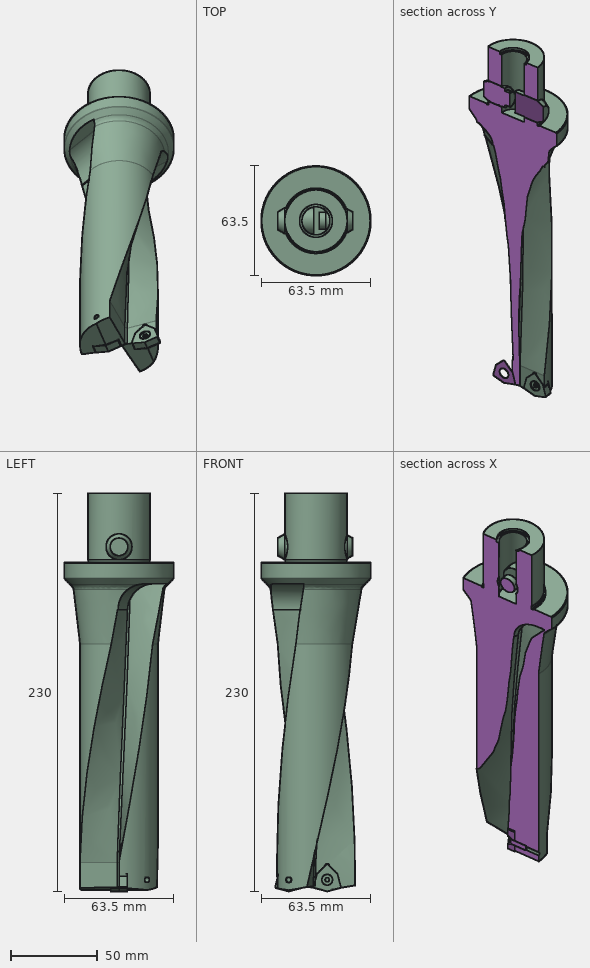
import cadquery as cq
import math


SHANK_RADIUS = 18.0
SHANK_LENGTH = 40.0
BORE_RADIUS = 8.1
BORE_BOTTOM = -2.0
MOUTH_RADIUS = 9.5
MOUTH_DEPTH = 1.6
GROOVE_OUTER_RADIUS = 18.9
GROOVE_DEPTH = 0.6
UNDERCUT_RADIUS = 17.8
UNDERCUT_TOP_Z = 1.4
FLANGE_RADIUS = 63.5 / 2
FLANGE_CHAMFER = 0.5
FLANGE_EDGE_Z = -9.0
FLANGE_EDGE_RADIUS = 0.4
FLANGE_EDGE_TURN = math.radians(45)

NECK_CONE_RADIUS = 28.4
NECK_CONE_Z = -12.6
CONE_TOP_RADIUS = 26.3
CONE_TOP_Z = -15.6
CONE_BOTTOM_Z = -47.0
DRILL_RADIUS = 22.6
TIP_Z = -190.0
END_RIDGE_Z = -189.2
END_SLOPE = 9.5

TWIST_START_Z = -173.0
FACE_EASING = 24.0
FACE_TWIST = 0.47
WALL_TWIST = 0.585
FLUTE_CORNER = 1.1
FLUTE_REACH = 45.0
RUNOUT_Z = -27.4
FLUTE_TOP_Z = -12.4
HELIX_STEPS = 16

INSERT_CORNER_RADIUS = 9.3
INSERT_FLAT_RADIUS = 6.8
INSERT_NOSE_TRIM = 0.4
INSERT_THICKNESS = 4.9
INSERT_Z = TIP_Z + INSERT_FLAT_RADIUS
INNER_INSERT_X = 6.5
OUTER_INSERT_X = 15.7
OUTER_TURN = 180
CORNER_RELIEF_RADIUS = 1.3
SIDE_OPENING_TOP_Z = -181.3
HEAD_RADIUS = 3.1
HEAD_SINK = 0.6
HEAD_HEIGHT = 2.0
SCREW_RADIUS = 1.75
SCREW_LENGTH = 13.0
SOCKET_WIDTH = 2.6
SOCKET_DEPTH = 1.5
SCREW_OUTLET_RADIUS = 1.45

PIN_Z = 9.0
PIN_END_RADIUS = 5.1
LEFT_PIN_RADIUS = 7.5
LEFT_PIN_INNER = 1.4
LEFT_PIN_OUTER = 22.1
RIGHT_PIN_RADIUS = 6.9
RIGHT_PIN_INNER = 2.0
RIGHT_PIN_OUTER = 21.2
NOSE_RADIUS = 5.0
NOSE_LENGTH = 3.6


def polar(radius, angle):
    """Point at the given radius and angle in degrees."""
    return cq.Vector(radius * math.cos(math.radians(angle)), radius * math.sin(math.radians(angle)))


def blank():
    """Turned shape of shank, flange, neck and drill."""
    lip_x = FLANGE_RADIUS - FLANGE_EDGE_RADIUS * (1 - math.cos(FLANGE_EDGE_TURN))
    lip_z = FLANGE_EDGE_Z - FLANGE_EDGE_RADIUS * math.sin(FLANGE_EDGE_TURN)
    cone_direction = (DRILL_RADIUS - CONE_TOP_RADIUS, CONE_BOTTOM_Z - CONE_TOP_Z)
    neck_direction = (NECK_CONE_RADIUS - lip_x, NECK_CONE_Z - lip_z)
    return (
        cq.Workplane("XZ")
        .moveTo(0, BORE_BOTTOM)
        .lineTo(BORE_RADIUS, BORE_BOTTOM)
        .lineTo(BORE_RADIUS, SHANK_LENGTH - MOUTH_DEPTH)
        .lineTo(MOUTH_RADIUS, SHANK_LENGTH - MOUTH_DEPTH)
        .lineTo(MOUTH_RADIUS, SHANK_LENGTH)
        .lineTo(SHANK_RADIUS, SHANK_LENGTH)
        .lineTo(SHANK_RADIUS, UNDERCUT_TOP_Z)
        .lineTo(UNDERCUT_RADIUS, UNDERCUT_TOP_Z)
        .lineTo(UNDERCUT_RADIUS, -GROOVE_DEPTH)
        .lineTo(GROOVE_OUTER_RADIUS, -GROOVE_DEPTH)
        .lineTo(GROOVE_OUTER_RADIUS, 0)
        .lineTo(FLANGE_RADIUS - FLANGE_CHAMFER, 0)
        .lineTo(FLANGE_RADIUS, -FLANGE_CHAMFER)
        .lineTo(FLANGE_RADIUS, FLANGE_EDGE_Z)
        .tangentArcPoint((lip_x, lip_z), relative=False)
        .lineTo(NECK_CONE_RADIUS, NECK_CONE_Z)
        .spline(
            [(CONE_TOP_RADIUS, CONE_TOP_Z)],
            tangents=[neck_direction, cone_direction],
            includeCurrent=True,
        )
        .lineTo(DRILL_RADIUS, CONE_BOTTOM_Z)
        .lineTo(DRILL_RADIUS, TIP_Z)
        .lineTo(0, TIP_Z)
        .close()
        .revolve(360, (0, 0), (0, 1))
    )


def end_cutter(ridge_x, turn):
    """Removes what lies below the roof-shaped end of one half of the body, behind one insert."""
    reach = 2 * DRILL_RADIUS
    rise = reach * math.tan(math.radians(END_SLOPE))
    return (
        cq.Workplane("XZ")
        .moveTo(ridge_x, END_RIDGE_Z)
        .lineTo(ridge_x + reach, END_RIDGE_Z + rise)
        .lineTo(ridge_x + reach, END_RIDGE_Z - reach)
        .lineTo(ridge_x - reach, END_RIDGE_Z - reach)
        .lineTo(ridge_x - reach, END_RIDGE_Z + rise)
        .close()
        .extrude(-reach)
        .rotate((0, 0, 0), (0, 0, 1), turn)
    )


class Flute:
    """Two-walled chip flute: a cutting face and a wall that meet at a blunted corner.

    The corner lies on the cutting face, at an offset from the axis that grows upward.
    """

    def __init__(self, face_angle, opening, tip_offset, offset_growth, twist_start, easing, straight_tip):
        self.face_angle = face_angle
        self.opening = opening
        self.tip_offset = tip_offset
        self.offset_growth = offset_growth
        self.twist_start = twist_start
        self.easing = easing
        self.straight_tip = straight_tip

    def climb(self, z):
        """Height over which the face twists, with a parabolic start along the easing length."""
        rise = max(z - self.twist_start, 0)
        if rise < self.easing:
            return rise ** 2 / (2 * self.easing)
        return rise - self.easing / 2

    def layout(self, z):
        """Corner point, unit vector along the face and unit vector along the wall at height z."""
        climb = self.climb(z)
        face_angle = self.face_angle + FACE_TWIST * climb
        wall_climb = min(z, RUNOUT_Z) - TWIST_START_Z
        if self.straight_tip:
            wall_climb = max(wall_climb, 0)
        wall_angle = self.face_angle - self.opening + WALL_TWIST * wall_climb
        corner = polar(self.tip_offset + self.offset_growth * climb, face_angle)
        along_wall = (polar(DRILL_RADIUS, wall_angle) - corner).normalized()
        return corner, polar(1, face_angle), along_wall

    def section(self, z):
        """Outline of the flute at height z."""
        corner, along_face, along_wall = self.layout(z)
        points = [
            corner + along_face * FLUTE_CORNER,
            corner + along_face * FLUTE_REACH,
            corner + (along_face + along_wall) * FLUTE_REACH,
            corner + along_wall * FLUTE_REACH,
            corner + along_wall * FLUTE_CORNER,
        ]
        lift = cq.Vector(0, 0, z)
        return cq.Wire.makePolygon([point + lift for point in points], close=True)

    def runout_stock(self):
        """Material left above a rounded hollow, which makes the wall curve over into the flute's top."""
        corner, _, along_wall = self.layout(RUNOUT_Z)
        radius = FLUTE_TOP_Z - RUNOUT_Z
        turn = math.degrees(math.atan2(along_wall.y, along_wall.x))
        hollow = (
            cq.Workplane("XY")
            .box(2 * FLUTE_REACH, 2 * FLUTE_REACH, 2 * radius, centered=(True, False, False))
            .edges(">Z and <Y")
            .fillet(radius)
            .translate((0, 0, -radius))
        )
        width = 4 * FLUTE_REACH
        stock = cq.Workplane("XY").box(width, width, 2 * radius, centered=(True, True, False))
        stock = stock.cut(hollow).rotate((0, 0, 0), (0, 0, 1), turn)
        return stock.translate((corner.x, corner.y, RUNOUT_Z))

    def cutter(self):
        """Lofted shapes to cut: the straight tip length and the helix with its runout."""
        step = (FLUTE_TOP_Z - self.twist_start) / HELIX_STEPS
        helix_sections = [self.section(self.twist_start + step * i) for i in range(HELIX_STEPS + 1)]
        tip = cq.Solid.makeLoft([self.section(TIP_Z - 1), helix_sections[0]], True)
        helix = cq.Solid.makeLoft(helix_sections)
        return [cq.Workplane(tip), cq.Workplane(helix).cut(self.runout_stock())]


def insert_outline():
    """Trigon insert without its hole, its face on Y = 0 and its middle on the origin."""
    points = []
    for corner_angle in (90, 210, 330):
        points.append(polar(INSERT_CORNER_RADIUS, corner_angle).toTuple()[:2])
        points.append(polar(INSERT_FLAT_RADIUS, corner_angle + 60).toTuple()[:2])
    plate = cq.Workplane("XZ").polyline(points).close().extrude(-INSERT_THICKNESS)
    noses = cq.Workplane("XZ").circle(INSERT_CORNER_RADIUS - INSERT_NOSE_TRIM).extrude(-INSERT_THICKNESS)
    return plate.intersect(noses)


def screw_outline():
    """Countersunk screw without its socket, along +Y."""
    return (
        cq.Workplane("XY")
        .moveTo(0, HEAD_SINK)
        .lineTo(HEAD_RADIUS, HEAD_SINK)
        .lineTo(SCREW_RADIUS, HEAD_SINK + HEAD_HEIGHT)
        .lineTo(SCREW_RADIUS, SCREW_LENGTH)
        .lineTo(0, SCREW_LENGTH)
        .close()
        .revolve(360, (0, 0, 0), (0, 1, 0))
    )


def cylinder_along_y(radius, end):
    return cq.Workplane("XZ").circle(radius).extrude(-end)


def screw():
    socket = cq.Workplane("XZ").polygon(6, SOCKET_WIDTH).extrude(-(HEAD_SINK + SOCKET_DEPTH))
    return screw_outline().cut(socket)


def insert():
    return insert_outline().cut(screw_outline()).cut(cylinder_along_y(HEAD_RADIUS, HEAD_SINK))


def insert_seat():
    """Space taken from the body: pocket, relief at the upper corner, screw hole and its outlet."""
    relief = cylinder_along_y(CORNER_RELIEF_RADIUS, INSERT_THICKNESS)
    upper_corner = INSERT_CORNER_RADIUS - CORNER_RELIEF_RADIUS
    outlet = cylinder_along_y(SCREW_OUTLET_RADIUS, DRILL_RADIUS)
    return insert_outline().union(relief.translate((0, 0, upper_corner))).union(screw_outline()).union(outlet)


def side_opening():
    """Gap beside the outer insert, open through the drill's side."""
    width = 2 * INSERT_CORNER_RADIUS
    gap = cq.Workplane("XY").box(width, INSERT_THICKNESS, width, centered=False)
    inner_x = OUTER_INSERT_X + INSERT_FLAT_RADIUS * math.cos(math.radians(30))
    return gap.translate((inner_x, 0, SIDE_OPENING_TOP_Z - width)).rotate((0, 0, 0), (0, 0, 1), OUTER_TURN)


def at_seat(shape, x, turn):
    """Move a shape from the origin to an insert's place."""
    return shape.translate((x, 0, INSERT_Z)).rotate((0, 0, 0), (0, 0, 1), turn)


def pin(radius, inner, outer):
    """Cross pin along +X with a tapered outer end."""
    return (
        cq.Workplane("XY")
        .moveTo(inner, 0)
        .lineTo(inner, radius)
        .lineTo(SHANK_RADIUS, radius)
        .lineTo(outer, PIN_END_RADIUS)
        .lineTo(outer, 0)
        .close()
        .revolve(360, (0, 0, 0), (1, 0, 0))
        .translate((0, 0, PIN_Z))
    )


def left_pin():
    return pin(LEFT_PIN_RADIUS, LEFT_PIN_INNER, LEFT_PIN_OUTER).rotate((0, 0, 0), (0, 0, 1), 180)


def right_pin():
    """Cross pin whose inner end is a thinner nose."""
    nose = (
        cq.Workplane("YZ", origin=(RIGHT_PIN_INNER, 0, PIN_Z))
        .circle(NOSE_RADIUS)
        .extrude(NOSE_LENGTH)
    )
    return pin(RIGHT_PIN_RADIUS, RIGHT_PIN_INNER + NOSE_LENGTH, RIGHT_PIN_OUTER).union(nose)


def pin_hole(radius, direction):
    return cq.Workplane("YZ").center(0, PIN_Z).circle(radius).extrude(direction * FLANGE_RADIUS)


def drill_body():
    body = blank()
    for x, turn in SEATS:
        body = body.cut(end_cutter(x, turn))
    for flute in FLUTES:
        for part in flute.cutter():
            body = body.cut(part)
    for x, turn in SEATS:
        body = body.cut(at_seat(insert_seat(), x, turn))
    body = body.cut(side_opening())
    return body.cut(pin_hole(LEFT_PIN_RADIUS, -1)).cut(pin_hole(RIGHT_PIN_RADIUS, 1))


INNER_FLUTE = Flute(
    face_angle=0,
    opening=95,
    tip_offset=-1.5,
    offset_growth=0.055,
    twist_start=TIP_Z,
    easing=FACE_EASING,
    straight_tip=False,
)
OUTER_FLUTE = Flute(
    face_angle=OUTER_TURN,
    opening=85,
    tip_offset=4.0,
    offset_growth=0.0105,
    twist_start=TWIST_START_Z,
    easing=0,
    straight_tip=True,
)
FLUTES = [INNER_FLUTE, OUTER_FLUTE]
SEATS = [(INNER_INSERT_X, 0), (OUTER_INSERT_X, OUTER_TURN)]

body = drill_body()
inserts = [at_seat(insert(), x, turn) for x, turn in SEATS]
screws = [at_seat(screw(), x, turn) for x, turn in SEATS]

loose_parts = [*inserts, *screws, left_pin(), right_pin()]
result = cq.Compound.makeCompound([body.val(), *[part.val() for part in loose_parts]])